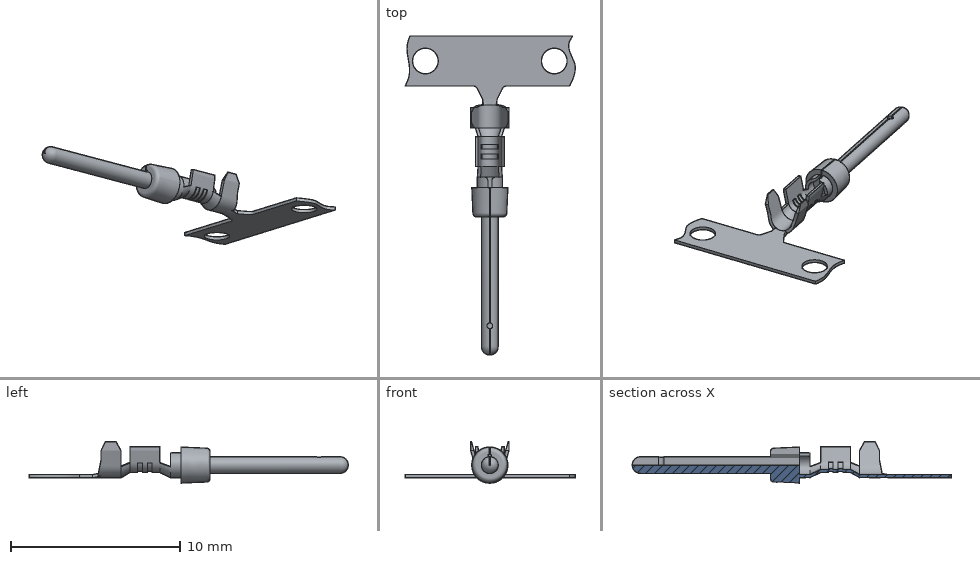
import cadquery as cq
import math


SHEET = 0.2
LOW_Z = -0.75

PIN_RADIUS = 0.5
SEAM_WIDTH = 0.06
PEEP_HOLE_DIAMETER = 0.34
PEEP_HOLE_Y = 1.73

COLLAR_FRONT_Y = 8.17
COLLAR_REAR_Y = 9.9
COLLAR_FRONT_RADIUS = 1.0
COLLAR_REAR_RADIUS = 1.075
COLLAR_FILLET = 0.22
ROOT_NOTCH_WIDTH = 0.16
ROOT_NOTCH_Z = (0.48, 0.6)

BARREL_RADIUS = -LOW_Z
BARREL_REAR_Y = 10.52
BARREL_GAP = 0.24
BARREL_GAP_CORNER = 0.2
BARREL_SIDE_ANGLE = 8.0

CONDUCTOR_FRONT_Y = 11.14
CONDUCTOR_REAR_Y = 12.92
CONDUCTOR_RADIUS = 0.72
CONDUCTOR_LOW_Z = -0.45
CONDUCTOR_LEAN = 12.0
CONDUCTOR_TOP_Z = 1.09
SERRATION_DEPTH = 0.06
SERRATION_WIDTH = 0.28
SERRATION_PITCH = 0.58

INSULATION_FRONT_Y = 13.43
INSULATION_REAR_Y = 14.63
INSULATION_HEEL_Y = 14.83
INSULATION_RADIUS = 0.897
INSULATION_LEAN = 16.0
INSULATION_TOP_Z = 1.385
INSULATION_HEEL_TOP_Z = 0.3
INSULATION_TIP_FRONT_Y = 13.73
INSULATION_TIP_REAR_Y = 14.37

WING_BEND_Z = 0.85

STRIP_REAR_Y = 18.87
STRIP_WIDTH = 2.97
STRIP_FRONT_Y = STRIP_REAR_Y - STRIP_WIDTH
PILOT_DIAMETER = 1.5
PILOT_PITCH = 7.62
NECK_HALF_WIDTH = 0.43
NECK_REAR_Y = 15.12
FLARE_HALF_WIDTH = 0.82
FLARE_FILLET = 0.25
END_SLANT = 0.5
LEFT_END = [(-4.72, 0), (-4.90, 0.77), (-4.75, 2.05), (-5.01, STRIP_WIDTH)]
RIGHT_END = [(4.90, 0), (4.67, 0.57), (5.06, 1.88), (4.72, STRIP_WIDTH)]


def section(y):
    """Sketch plane across the contact: local x is X, local y is Z."""
    return cq.Workplane("XZ", origin=(0, y, 0))


def box(width, y_range, z_range):
    """Box centred on X = 0 between two Y and two Z limits."""
    length = y_range[1] - y_range[0]
    height = z_range[1] - z_range[0]
    corner = (-width / 2, y_range[0], z_range[0])
    return cq.Workplane("XY").box(width, length, height, centered=False).translate(corner)


def arc_end(radius, centre_z, angle):
    """X and Z of the point on an arc lying an angle (degrees) below its centre."""
    tilt = math.radians(angle)
    return radius * math.cos(tilt), centre_z - radius * math.sin(tilt)


def trough(plane, outer_radius, inner_radius, centre_z, angle):
    """Closed C-shaped outline, open upwards, ending an angle below its centre."""
    outer_x, outer_z = arc_end(outer_radius, centre_z, angle)
    inner_x, inner_z = arc_end(inner_radius, centre_z, angle)
    return (
        plane.moveTo(-outer_x, outer_z)
        .threePointArc((0, centre_z - outer_radius), (outer_x, outer_z))
        .lineTo(inner_x, inner_z)
        .threePointArc((0, centre_z - inner_radius), (-inner_x, inner_z))
        .close()
    )


def crimp(y_range, radius, low_z, lean, top_z):
    """U-shaped crimp whose wings lean outwards and get thinner above the wing bend."""
    centre_z = low_z + radius
    slope = math.tan(math.radians(lean))
    inner_radius = radius - SHEET
    outer_x, outer_z = arc_end(radius, centre_z, lean)
    inner_x, inner_z = arc_end(inner_radius, centre_z, lean)
    bend_x = outer_x + (WING_BEND_Z - outer_z) * slope
    inner_top_x = inner_x + (top_z - inner_z) * slope
    outline = (
        section(y_range[0])
        .moveTo(-outer_x, outer_z)
        .threePointArc((0, low_z), (outer_x, outer_z))
        .lineTo(bend_x, WING_BEND_Z)
        .lineTo(bend_x, top_z)
        .lineTo(inner_top_x, top_z)
        .lineTo(inner_x, inner_z)
        .threePointArc((0, low_z + SHEET), (-inner_x, inner_z))
        .lineTo(-inner_top_x, top_z)
        .lineTo(-bend_x, top_z)
        .lineTo(-bend_x, WING_BEND_Z)
        .close()
    )
    return outline.extrude(y_range[0] - y_range[1])


def trough_transition(front, rear):
    """Sheet trough between two (Y, outer radius, low Z, end angle) sections."""
    wires = []
    for y, radius, low_z, angle in (front, rear):
        outline = trough(section(y), radius, radius - SHEET, low_z + radius, angle)
        wires.append(outline.val())
    return cq.Workplane(cq.Solid.makeLoft(wires, True))


def make_pin_and_collar():
    """Round-nosed pin and tapered collar turned in one piece, with the rolled seam cut in."""
    nose = PIN_RADIUS * math.sqrt(0.5)
    body = (
        cq.Workplane("XY")
        .moveTo(0, 0)
        .threePointArc((nose, PIN_RADIUS - nose), (PIN_RADIUS, PIN_RADIUS))
        .lineTo(PIN_RADIUS, COLLAR_FRONT_Y)
        .lineTo(COLLAR_FRONT_RADIUS, COLLAR_FRONT_Y)
        .lineTo(COLLAR_REAR_RADIUS, COLLAR_REAR_Y)
        .lineTo(0, COLLAR_REAR_Y)
        .close()
        .revolve(360, (0, 0), (0, 1))
    )
    next_to_largest = cq.selectors.RadiusNthSelector(-2)
    body = body.edges("%CIRCLE").edges(next_to_largest).fillet(COLLAR_FILLET)

    peep_hole = (
        cq.Workplane("XY")
        .center(0, PEEP_HOLE_Y)
        .circle(PEEP_HOLE_DIAMETER / 2)
        .extrude(PIN_RADIUS)
    )
    seam = box(SEAM_WIDTH, (0, COLLAR_REAR_Y), (0, COLLAR_REAR_RADIUS))
    notch = box(ROOT_NOTCH_WIDTH, (COLLAR_FRONT_Y, COLLAR_REAR_Y), ROOT_NOTCH_Z)
    return body.cut(seam).cut(peep_hole).cut(notch)


def make_barrel():
    """Rolled tube with an open seam on top that flares at the rear."""
    tube = (
        section(COLLAR_REAR_Y)
        .circle(BARREL_RADIUS)
        .circle(BARREL_RADIUS - SHEET)
        .extrude(COLLAR_REAR_Y - BARREL_REAR_Y)
    )
    half_gap = BARREL_GAP / 2
    flare_x = half_gap + BARREL_GAP_CORNER
    flare_y = BARREL_REAR_Y - BARREL_GAP_CORNER
    bulge = BARREL_GAP_CORNER * (1 - math.sqrt(0.5))
    gap = (
        cq.Workplane("XY")
        .moveTo(-half_gap, COLLAR_REAR_Y)
        .lineTo(half_gap, COLLAR_REAR_Y)
        .lineTo(half_gap, flare_y)
        .threePointArc((half_gap + bulge, BARREL_REAR_Y - bulge), (flare_x, BARREL_REAR_Y))
        .lineTo(-flare_x, BARREL_REAR_Y)
        .threePointArc((-half_gap - bulge, BARREL_REAR_Y - bulge), (-half_gap, flare_y))
        .close()
        .extrude(BARREL_RADIUS)
    )
    return tube.cut(gap)


def make_conductor_crimp():
    """Wire crimp with two bands of its floor pressed inwards as serrations."""
    body = crimp(
        (CONDUCTOR_FRONT_Y, CONDUCTOR_REAR_Y),
        CONDUCTOR_RADIUS,
        CONDUCTOR_LOW_Z,
        CONDUCTOR_LEAN,
        CONDUCTOR_TOP_Z,
    )
    centre_z = CONDUCTOR_LOW_Z + CONDUCTOR_RADIUS
    inner_radius = CONDUCTOR_RADIUS - SHEET
    middle_y = (CONDUCTOR_FRONT_Y + CONDUCTOR_REAR_Y) / 2
    for side in (-1, 1):
        start_y = middle_y + side * SERRATION_PITCH / 2 - SERRATION_WIDTH / 2
        bands = []
        for radius in (CONDUCTOR_RADIUS, inner_radius):
            pressed_radius = radius - SERRATION_DEPTH
            outline = trough(section(start_y), radius, pressed_radius, centre_z, CONDUCTOR_LEAN)
            bands.append(outline.extrude(-SERRATION_WIDTH))
        groove, ridge = bands
        body = body.cut(groove).union(ridge)
    return body


def make_insulation_crimp():
    """Insulation crimp trimmed to its side outline: slanted heel and tapered wing tips."""
    body = crimp(
        (INSULATION_FRONT_Y, INSULATION_HEEL_Y),
        INSULATION_RADIUS,
        LOW_Z,
        INSULATION_LEAN,
        INSULATION_TOP_Z,
    )
    side_outline = [
        (INSULATION_FRONT_Y, LOW_Z),
        (INSULATION_HEEL_Y, LOW_Z),
        (INSULATION_REAR_Y, INSULATION_HEEL_TOP_Z),
        (INSULATION_REAR_Y, WING_BEND_Z),
        (INSULATION_TIP_REAR_Y, INSULATION_TOP_Z),
        (INSULATION_TIP_FRONT_Y, INSULATION_TOP_Z),
        (INSULATION_FRONT_Y, WING_BEND_Z),
    ]
    trim_reach = 2 * INSULATION_RADIUS
    trim = cq.Workplane("YZ").polyline(side_outline).close().extrude(trim_reach, both=True)
    return body.intersect(trim)


def make_neck():
    """Short neck that turns the flat strip into the curved floor of the insulation crimp."""
    centre_z = LOW_Z + INSULATION_RADIUS
    edge_angle = math.degrees(math.acos(NECK_HALF_WIDTH / INSULATION_RADIUS))
    inner_radius = INSULATION_RADIUS - SHEET
    plane = section(INSULATION_REAR_Y)
    curved = trough(plane, INSULATION_RADIUS, inner_radius, centre_z, edge_angle)
    flat = (
        section(NECK_REAR_Y)
        .moveTo(-NECK_HALF_WIDTH, LOW_Z)
        .lineTo(NECK_HALF_WIDTH, LOW_Z)
        .lineTo(NECK_HALF_WIDTH, LOW_Z + SHEET)
        .lineTo(-NECK_HALF_WIDTH, LOW_Z + SHEET)
        .close()
    )
    return cq.Workplane(cq.Solid.makeLoft([curved.val(), flat.val()], True))


def wavy_end(outline, points, direction):
    """Add a wavy strip end; it runs along Y at its inner points and slants at its corners."""
    places = [(x, STRIP_REAR_Y - drop) for x, drop in points]
    along = (0, direction)
    slanted = (direction * END_SLANT, direction)
    tangents = [slanted] + [along] * (len(points) - 2) + [slanted]
    return outline.spline(places[1:], tangents=tangents, includeCurrent=True)


def make_strip():
    plane = cq.Workplane("XY", origin=(0, 0, LOW_Z))
    outline = plane.moveTo(RIGHT_END[0][0], STRIP_REAR_Y)
    outline = wavy_end(outline, RIGHT_END, -1)
    outline = outline.lineTo(LEFT_END[-1][0], STRIP_FRONT_Y)
    outline = wavy_end(outline, LEFT_END[::-1], 1)
    strip = outline.close().extrude(SHEET)

    flare_outline = [
        (-FLARE_HALF_WIDTH, STRIP_FRONT_Y),
        (-NECK_HALF_WIDTH, NECK_REAR_Y),
        (NECK_HALF_WIDTH, NECK_REAR_Y),
        (FLARE_HALF_WIDTH, STRIP_FRONT_Y),
    ]
    strip = strip.union(plane.polyline(flare_outline).close().extrude(SHEET))
    reach = FLARE_HALF_WIDTH + SHEET
    corner_zone = cq.selectors.BoxSelector(
        (-reach, STRIP_FRONT_Y - SHEET, LOW_Z - SHEET),
        (reach, STRIP_FRONT_Y + SHEET, LOW_Z + 2 * SHEET),
    )
    strip = strip.edges("|Z").edges(corner_zone).fillet(FLARE_FILLET)

    pilot_y = STRIP_REAR_Y - STRIP_WIDTH / 2
    pilots = [(-PILOT_PITCH / 2, pilot_y), (PILOT_PITCH / 2, pilot_y)]
    holes = plane.pushPoints(pilots).circle(PILOT_DIAMETER / 2).extrude(SHEET)
    return strip.cut(holes)


barrel_section = (BARREL_REAR_Y, BARREL_RADIUS, LOW_Z, BARREL_SIDE_ANGLE)
conductor_front = (CONDUCTOR_FRONT_Y, CONDUCTOR_RADIUS, CONDUCTOR_LOW_Z, CONDUCTOR_LEAN)
conductor_rear = (CONDUCTOR_REAR_Y, CONDUCTOR_RADIUS, CONDUCTOR_LOW_Z, CONDUCTOR_LEAN)
insulation_front = (INSULATION_FRONT_Y, INSULATION_RADIUS, LOW_Z, INSULATION_LEAN)

result = make_pin_and_collar()
for piece in (
    make_barrel(),
    trough_transition(barrel_section, conductor_front),
    make_conductor_crimp(),
    trough_transition(conductor_rear, insulation_front),
    make_insulation_crimp(),
    make_neck(),
    make_strip(),
):
    result = result.union(piece)